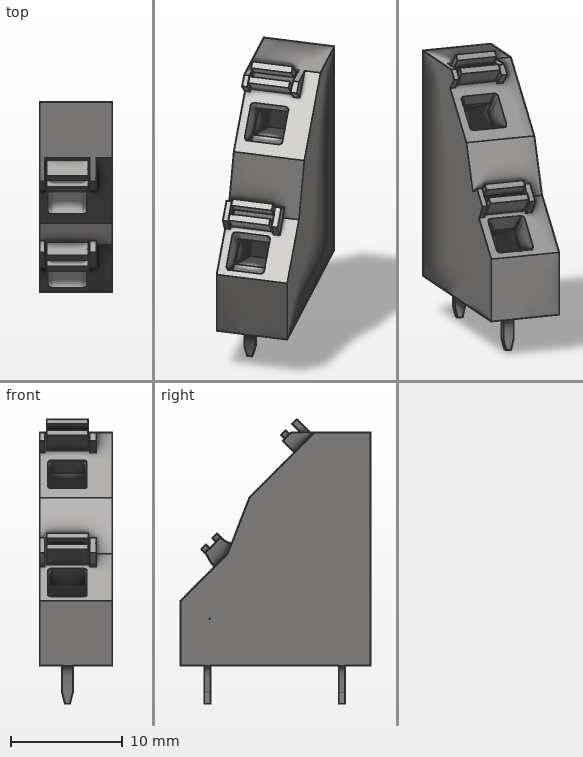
import cadquery as cq
import math

WIDTH = 6.5
DEPTH = 17.0
PIN_LENGTH = 3.4
BODY_TOP = 24.25
FRONT_TOP = 9.18
LOWER_SLOPE_REACH = 4.22
UPPER_SLOPE_START = (6.15, 18.42)
COS_45 = math.sqrt(0.5)

POLE_X = 2.5

LEVER_WIDTH = 3.71
LEVER_HEIGHT = 1.95
WEB_HEIGHT = 0.55
LEVER_ROOT = 0.25
FINGER_THICKNESS = 0.6
FINGER_PITCH = 1.4
CHEEK_GAP = 4.02
CHEEK_RIGHT = 5.05
CHEEK_HEIGHT = 1.48
LEVER_ABOVE_CHEEK = 0.25

MOUTH_WIDTH = 3.49
MOUTH_LENGTH = 3.55
MOUTH_DEPTH = 2.98
MOUTH_CORNER_RADIUS = 0.35
PASSAGE_WIDTH = 3.23
PASSAGE_LENGTH = 5.6
PASSAGE_OVERLAP = 0.76
PASSAGE_SILL = 1.4

PIN_WIDTH = 1.0
PIN_TIP_WIDTH = 0.45
PIN_TAPER = 1.05
PIN_THICKNESS = 0.59
FRONT_PIN_Y = 2.42
PIN_PITCH = 12.0

lower_corner = (0, FRONT_TOP)
lower_end = (LOWER_SLOPE_REACH, FRONT_TOP + LOWER_SLOPE_REACH)
upper_corner = UPPER_SLOPE_START
upper_end = (upper_corner[0] + BODY_TOP - upper_corner[1], BODY_TOP)
steep_y = upper_corner[0] - lower_end[0]
steep_z = upper_corner[1] - lower_end[1]
steep_length = math.hypot(steep_y, steep_z)


def on_slope(corner, up, out):
    """YZ point at a distance up the 45 degree slope from its lower corner and out from it."""
    return (corner[0] + (up - out) * COS_45, corner[1] + (up + out) * COS_45)


def prism(points, x_min, x_max):
    """Extrude a YZ outline between two X positions."""
    return cq.Workplane("YZ").workplane(offset=x_min).polyline(points).close().extrude(x_max - x_min)


def centred_prism(points, width):
    return prism(points, POLE_X - width / 2, POLE_X + width / 2)


def cheeks(outline):
    """Extrude a closed YZ outline and leave a gap in the middle for the lever."""
    gap = cq.Workplane("XY").box(CHEEK_GAP, DEPTH, BODY_TOP, centered=(True, False, False))
    return outline.extrude(CHEEK_RIGHT).cut(gap.translate((POLE_X, 0, 0)))


def lever(corner, foot):
    """Two fingers joined by a web, rooted a little below the sloped face."""
    def bar(start, length, height):
        ends = [(start, -LEVER_ROOT), (start + length, -LEVER_ROOT), (start + length, height), (start, height)]
        return centred_prism([on_slope(corner, up, out) for up, out in ends], LEVER_WIDTH)

    first = bar(foot, FINGER_THICKNESS, LEVER_HEIGHT)
    second = bar(foot + FINGER_PITCH, FINGER_THICKNESS, LEVER_HEIGHT)
    web = bar(foot, FINGER_PITCH, WEB_HEIGHT)
    return first.union(web).union(second)


def wire_entry(corner, mouth_start, passage_height):
    centre = on_slope(corner, mouth_start + MOUTH_LENGTH / 2, 0)
    face = cq.Plane(origin=(POLE_X, *centre), xDir=(1, 0, 0), normal=(0, -1, 1))
    mouth = (
        cq.Workplane(face)
        .rect(MOUTH_WIDTH, MOUTH_LENGTH)
        .extrude(-MOUTH_DEPTH)
        .edges("|(0,-1,1)")
        .fillet(MOUTH_CORNER_RADIUS)
    )
    inward = (steep_z / steep_length, -steep_y / steep_length)
    upward = (steep_y / steep_length, steep_z / steep_length)
    sill = on_slope(corner, mouth_start + PASSAGE_SILL, -MOUTH_DEPTH)

    def passage_point(along, height):
        return tuple(s + along * i + height * u for s, i, u in zip(sill, inward, upward))

    passage = centred_prism(
        [
            sill,
            passage_point(PASSAGE_LENGTH, 0),
            passage_point(PASSAGE_LENGTH, passage_height),
            passage_point(-PASSAGE_OVERLAP, passage_height),
        ],
        PASSAGE_WIDTH,
    )
    return mouth.union(passage)


def pin(y):
    half_width = PIN_WIDTH / 2
    half_tip = PIN_TIP_WIDTH / 2
    return (
        cq.Workplane("XZ", origin=(POLE_X, y + PIN_THICKNESS / 2, 0))
        .moveTo(-half_tip, 0)
        .lineTo(half_tip, 0)
        .lineTo(half_width, PIN_TAPER)
        .lineTo(half_width, PIN_LENGTH)
        .lineTo(-half_width, PIN_LENGTH)
        .lineTo(-half_width, PIN_TAPER)
        .close()
        .extrude(PIN_THICKNESS)
    )


body = prism(
    [
        (0, PIN_LENGTH),
        lower_corner,
        lower_end,
        upper_corner,
        upper_end,
        (DEPTH, BODY_TOP),
        (DEPTH, PIN_LENGTH),
    ],
    0,
    WIDTH,
)

UPPER_CHEEK_FOOT = 5.7
UPPER_MOUTH_START = 1.17
UPPER_PASSAGE_HEIGHT = 2.52
upper_cheek_crest = (upper_end[0] - CHEEK_HEIGHT / COS_45, BODY_TOP)
upper_cheek = (
    cq.Workplane("YZ")
    .moveTo(*on_slope(upper_corner, UPPER_CHEEK_FOOT, 0))
    .lineTo(*on_slope(upper_corner, UPPER_CHEEK_FOOT, CHEEK_HEIGHT))
    .lineTo(*upper_cheek_crest)
    .lineTo(*upper_end)
    .close()
)

LOWER_CHEEK_FOOT = 4.32
LOWER_MOUTH_START = 0.55
LOWER_PASSAGE_HEIGHT = 2.3
TAPER_START = 0.43
CREST_START = 4.63
CREST_END = 6.49
SHOULDER_UP = 6.6
SHOULDER_OUT = 1.07
ROOT_RISE = 0.92
root_share = ROOT_RISE / steep_z
lower_cheek_root = (lower_end[0] + root_share * steep_y, lower_end[1] + ROOT_RISE)
lower_cheek = (
    cq.Workplane("YZ")
    .moveTo(*on_slope(lower_corner, LOWER_CHEEK_FOOT, 0))
    .lineTo(*on_slope(lower_corner, LOWER_CHEEK_FOOT, TAPER_START))
    .lineTo(*on_slope(lower_corner, CREST_START, CHEEK_HEIGHT))
    .lineTo(*on_slope(lower_corner, CREST_END, CHEEK_HEIGHT))
    .threePointArc(on_slope(lower_corner, SHOULDER_UP, SHOULDER_OUT), lower_cheek_root)
    .lineTo(*lower_end)
    .close()
)

result = body.union(cheeks(upper_cheek)).union(cheeks(lower_cheek))
result = result.union(lever(upper_corner, UPPER_CHEEK_FOOT + LEVER_ABOVE_CHEEK))
result = result.union(lever(lower_corner, LOWER_CHEEK_FOOT + LEVER_ABOVE_CHEEK))
result = result.cut(wire_entry(upper_corner, UPPER_MOUTH_START, UPPER_PASSAGE_HEIGHT))
result = result.cut(wire_entry(lower_corner, LOWER_MOUTH_START, LOWER_PASSAGE_HEIGHT))
result = result.union(pin(FRONT_PIN_Y)).union(pin(FRONT_PIN_Y + PIN_PITCH))